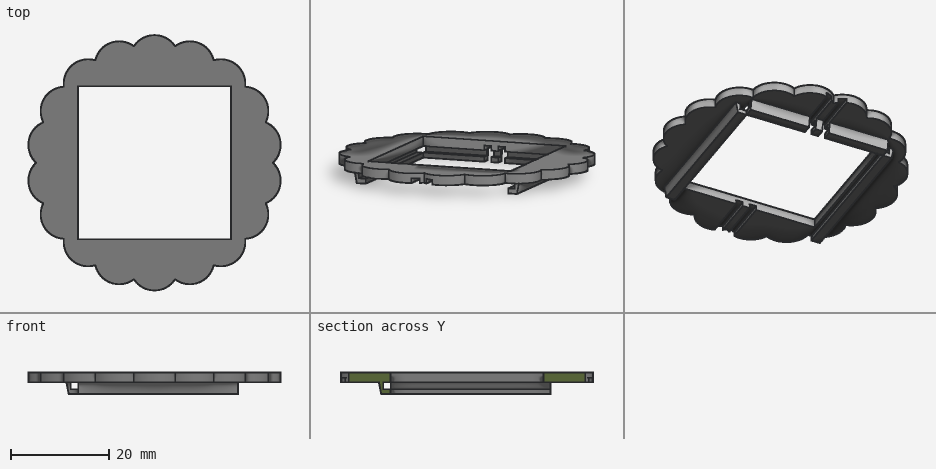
import cadquery as cq
import math

lobe_count = 18
overall_diameter = 51.95
lobe_radius = 5.0
lobe_circle_radius = overall_diameter / 2 - lobe_radius
plate_thickness = 2.05
opening_size = 31.1

rail_height = 2.4
flange_thickness = 1.05
channel_depth = 1.45
wall_foot_thickness = 0.45
wall_root_thickness = 0.95

slot_width = 1.5
slot_spacing = 3.0
slot_depth_in_plate = 1.0

half_opening = opening_size / 2
channel_wall = half_opening + channel_depth
lobe_step = 2 * math.pi / lobe_count


def polar(radius, angle):
    return (radius * math.cos(angle), radius * math.sin(angle))


def make_plate():
    """Ring of lobes, with one lobe centred on +Y, around a square opening."""
    half_step = lobe_step / 2
    notch_radius = lobe_circle_radius * math.cos(half_step) + math.sqrt(
        lobe_radius**2 - (lobe_circle_radius * math.sin(half_step)) ** 2
    )
    tip_radius = overall_diameter / 2
    first_angle = math.pi / 2
    outline = cq.Workplane("XY").moveTo(*polar(notch_radius, first_angle - half_step))
    for i in range(lobe_count):
        angle = first_angle + i * lobe_step
        outline = outline.threePointArc(
            polar(tip_radius, angle), polar(notch_radius, angle + half_step)
        )
    return outline.close().rect(opening_size, opening_size).extrude(plate_thickness)


def make_rail(start, end):
    """Rail along X on the -Y side; its channel opens toward the opening."""
    profile = [
        (-half_opening, -rail_height),
        (-channel_wall - wall_foot_thickness, -rail_height),
        (-channel_wall - wall_root_thickness, 0),
        (-channel_wall, 0),
        (-channel_wall, flange_thickness - rail_height),
        (-half_opening, flange_thickness - rail_height),
    ]
    rail = cq.Workplane("YZ", origin=(start, 0, 0)).polyline(profile).close()
    return rail.extrude(end - start)


def make_slots():
    """Cutters for the two slots, open at the bottom."""
    slot_height = rail_height + slot_depth_in_plate
    return (
        cq.Workplane("XY", origin=(0, 0, -rail_height))
        .pushPoints([(0, -slot_spacing / 2), (0, slot_spacing / 2)])
        .rect(overall_diameter, slot_width)
        .extrude(slot_height)
    )


side_rail = make_rail(-half_opening, channel_wall)
end_rail = make_rail(-half_opening, half_opening).rotate((0, 0, 0), (0, 0, 1), -90)

result = (
    make_plate()
    .union(side_rail)
    .union(side_rail.mirror("XZ"))
    .union(end_rail)
    .cut(make_slots())
)